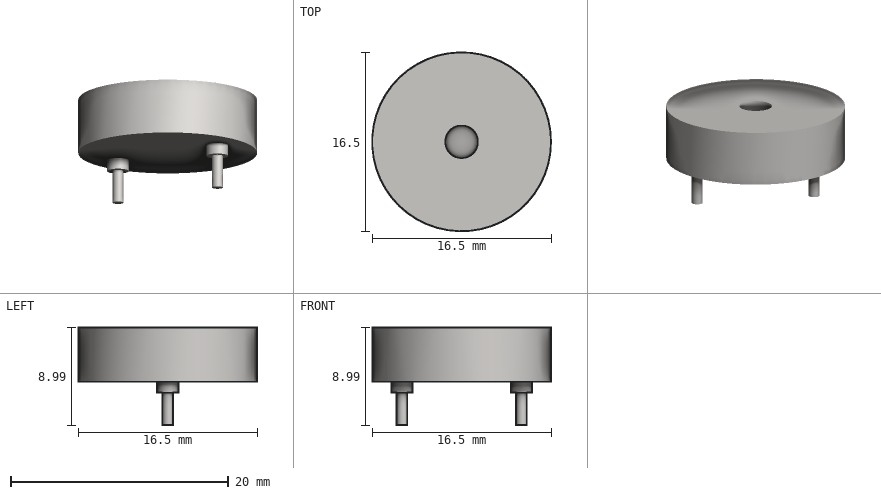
import cadquery as cq

body_diameter = 16.5
body_height = 5.0

hole_diameter = 3.0
hole_depth = 1.0

pin_spacing = 11.0
collar_diameter = 2.0
collar_height = 1.0
pin_diameter = 1.0
pin_length = 2.99


def make_body():
    """Disc standing on Z = 0 with the blind hole in its top face."""
    disc = cq.Workplane("XY").circle(body_diameter / 2).extrude(body_height)
    return disc.faces(">Z").workplane().hole(hole_diameter, hole_depth)


def make_pin(x):
    """Collar and thinner pin hanging below Z = 0 at the given X."""
    collar = cq.Workplane("XY").center(x, 0).circle(collar_diameter / 2).extrude(-collar_height)
    return collar.faces("<Z").workplane().circle(pin_diameter / 2).extrude(pin_length)


result = make_body()
for side in (-1, 1):
    result = result.union(make_pin(side * pin_spacing / 2))